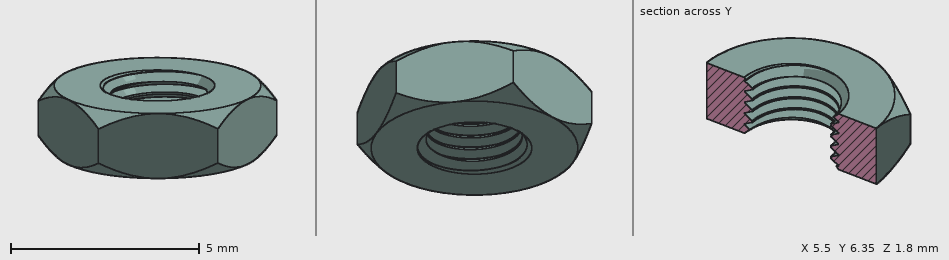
import cadquery as cq
import math

corner_diameter = 6.35
thickness = 1.8
corner_radius = corner_diameter / 2
flat_distance = corner_radius * math.cos(math.radians(30))
face_radius = flat_distance - 0.001
corner_bevel = corner_radius - face_radius

bore_radius = 1.27
rim_radius = 1.525
lead_in_depth = rim_radius - bore_radius
pitch = 0.35
groove_root_radius = 1.52
root_width = 0.005
flank_angle = 30.0
first_turn_depth = 0.28
turns = 7
turns_above = 2
groove_overlap = 0.01


def hexagon_body():
    hexagon = (
        cq.Workplane("XY").polygon(6, corner_diameter).extrude(thickness)
        .rotate((0, 0, 0), (0, 0, 1), 30)
    )
    bevel_envelope = (
        cq.Workplane("XY").circle(corner_radius).extrude(thickness)
        .faces("<Z or >Z").chamfer(corner_bevel)
    )
    return hexagon.intersect(bevel_envelope)


def bore_cutter():
    """Through bore that widens to the rim radius at both ends."""
    return (
        cq.Workplane("XZ")
        .polyline([
            (0, 0),
            (rim_radius, 0),
            (bore_radius, lead_in_depth),
            (bore_radius, thickness - lead_in_depth),
            (rim_radius, thickness),
            (0, thickness),
        ])
        .close()
        .revolve(360, (0, 0, 0), (0, 1, 0))
    )


def thread_turn_cutter():
    """One left-hand turn of the V groove, starting at Z = 0 on the +X side."""
    inner_radius = bore_radius - groove_overlap
    half_root = root_width / 2
    flank_rise = (groove_root_radius - inner_radius) * math.tan(math.radians(flank_angle))
    half_mouth = half_root + flank_rise
    helix = cq.Wire.makeHelix(pitch, pitch, bore_radius, lefthand=True)
    return (
        cq.Workplane("XZ")
        .polyline([
            (inner_radius, -half_mouth),
            (groove_root_radius, -half_root),
            (groove_root_radius, half_root),
            (inner_radius, half_mouth),
        ])
        .close()
        .sweep(cq.Workplane(obj=helix), isFrenet=True)
    )


def cut_thread(body):
    """Cut the thread turn by turn, from below the bottom face upward."""
    start_z = thickness - first_turn_depth - (turns - turns_above) * pitch
    turn_cutter = thread_turn_cutter()
    for turn in range(turns):
        body = body.cut(turn_cutter.translate((0, 0, start_z + turn * pitch)))
    return body


result = cut_thread(hexagon_body().cut(bore_cutter()))